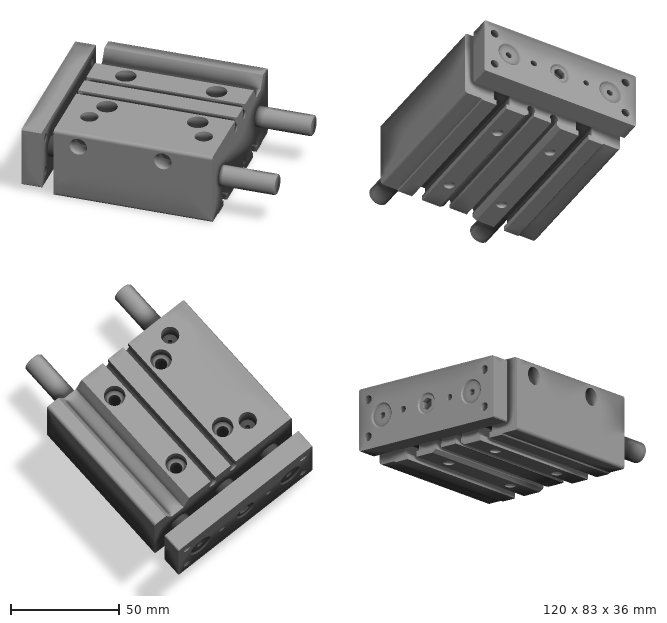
import cadquery as cq
import math


total_length = 120.0
plate_thickness = 10.0
housing_start = 16.0
housing_length = 77.0
housing_width = 83.0
housing_height = 36.0
housing_end = housing_start + housing_length
half_width = housing_width / 2
half_height = housing_height / 2

rod_diameter = 10.0
guide_rod_offset = 27.0
guide_rod_chamfer = 0.5
piston_rod_end = housing_start + housing_length / 2

top_corner_radius = 1.5
bottom_corner_radius = 1.5
foot_half_width = 32.0
foot_height = 0.6
side_bottom = foot_height - half_height
foot_root_half_width = foot_half_width + foot_height

channel_center = 27.5
channel_mouth_width = 14.0
channel_floor_width = 7.1
channel_depth = 6.0

recess_mouth_width = 19.5
recess_depth = 1.5

groove_offset = 6.1
groove_slot_width = 3.0
groove_round_diameter = 4.2
groove_round_depth = 4.8
recess_floor_width = 2 * groove_offset + groove_slot_width

t_slot_offset = 22.0
t_slot_throat_width = 5.4
t_slot_throat_depth = 2.8
t_slot_head_width = 8.4
t_slot_depth = 7.8

mount_hole_x = (33.0, 77.0)
mount_hole_offset = 14.0
mount_head_diameter = 10.0
mount_head_depth = 6.0
mount_hole_diameter = 5.8
mount_thread_diameter = 5.2
mount_thread_length = 12.0

port_mouth_diameter = 8.5
port_floor_diameter = 7.5
port_depth = 8.0
port_drill_diameter = 2.0
port_drill_length = 3.0
top_port_x = (28.0, 83.5)
top_port_y = -25.0
side_port_x = (28.0, 69.0)
side_port_z = 11.5

plate_width = 81.0
plate_height = 30.0
plate_edge_chamfer = 0.5
plate_bolt_diameter = 4.2
plate_bolt_y = 35.0
plate_bolt_z = 9.0
dowel_diameter = 3.0
dowel_offset = 14.0
dowel_slot_length = 3.5

guide_rim_diameter = 12.0
guide_socket_width = 3.0
guide_socket_depth = 2.4
piston_rim_diameter = 10.3
piston_socket_width = 5.3
piston_socket_depth = 3.6
rim_chamfer = 0.7


def cross_section(x_start):
    """Workplane across the rods at a given X, with local x = Y and local y = Z."""
    return cq.Workplane("YZ", origin=(x_start, 0, 0))


def housing_bar(outline):
    """Extrude a closed YZ outline over the housing length."""
    return cross_section(housing_start).polyline(outline).close().extrude(housing_length)


def housing_channel(center_y, low_z, high_z, width):
    """Rectangular bar over the housing length."""
    center_z = (low_z + high_z) / 2
    section = cross_section(housing_start).center(center_y, center_z).rect(width, high_z - low_z)
    return section.extrude(housing_length)


def rod(x_start, x_end, y):
    """Plain round bar along X; also used to bore its matching hole."""
    return cross_section(x_start).center(y, 0).circle(rod_diameter / 2).extrude(x_end - x_start)


def make_outer_block():
    """Rounded bar with a wide, low foot on the underside, its sides sloped at 45 degrees."""
    block = housing_bar([
        (-half_width, half_height),
        (half_width, half_height),
        (half_width, side_bottom),
        (foot_root_half_width, side_bottom),
        (foot_half_width, -half_height),
        (-foot_half_width, -half_height),
        (-foot_root_half_width, side_bottom),
        (-half_width, side_bottom),
    ])
    block = block.edges("|X and >Z").fillet(top_corner_radius)
    return block.edges("|X and (<Y or >Y)").edges("<Z").fillet(bottom_corner_radius)


def make_top_channel():
    floor_z = half_height - channel_depth
    return housing_bar([
        (channel_center - channel_mouth_width / 2, half_height),
        (channel_center - channel_floor_width / 2, floor_z),
        (channel_center + channel_floor_width / 2, floor_z),
        (channel_center + channel_mouth_width / 2, half_height),
    ])


def make_bottom_recess():
    floor_z = recess_depth - half_height
    return housing_bar([
        (-recess_mouth_width / 2, -half_height),
        (-recess_floor_width / 2, floor_z),
        (recess_floor_width / 2, floor_z),
        (recess_mouth_width / 2, -half_height),
    ])


def make_sensor_groove(y):
    """Groove open at the top, centred on the given Y."""
    round_z = half_height - groove_round_depth
    slot = housing_channel(y, round_z, half_height, groove_slot_width)
    round_bottom = cross_section(housing_start).center(y, round_z).circle(groove_round_diameter / 2)
    return slot.union(round_bottom.extrude(housing_length))


def make_t_slot(y):
    throat_top = t_slot_throat_depth - half_height
    head_top = t_slot_depth - half_height
    throat = housing_channel(y, -half_height, throat_top, t_slot_throat_width)
    return throat.union(housing_channel(y, throat_top, head_top, t_slot_head_width))


def make_mounting_hole(x, y):
    """Counterbored from the top, threaded from the underside."""
    base = cq.Workplane("XY", origin=(x, y, -half_height))
    thread = base.circle(mount_thread_diameter / 2).extrude(mount_thread_length)
    clearance = (
        base.workplane(offset=mount_thread_length)
        .circle(mount_hole_diameter / 2)
        .extrude(housing_height - mount_thread_length)
    )
    head = (
        base.workplane(offset=housing_height - mount_head_depth)
        .circle(mount_head_diameter / 2)
        .extrude(mount_head_depth)
    )
    return thread.union(clearance).union(head)


def make_port(mouth, direction):
    """Tapered port that starts at a point on the surface and runs inward."""
    mouth_point = cq.Vector(*mouth)
    inward = cq.Vector(*direction)
    taper = cq.Solid.makeCone(port_mouth_diameter / 2, port_floor_diameter / 2, port_depth, mouth_point, inward)
    drill = cq.Solid.makeCylinder(port_drill_diameter / 2, port_depth + port_drill_length, mouth_point, inward)
    return cq.Workplane(taper).union(cq.Workplane(drill))


def make_housing():
    housing = make_outer_block().cut(make_top_channel()).cut(make_bottom_recess())
    for side in (-1, 1):
        groove = make_sensor_groove(side * groove_offset)
        housing = housing.cut(groove).cut(groove.mirror("XY"))
        housing = housing.cut(make_t_slot(side * t_slot_offset))
        housing = housing.cut(rod(housing_start, housing_end, side * guide_rod_offset))
        for x in mount_hole_x:
            housing = housing.cut(make_mounting_hole(x, side * mount_hole_offset))
    housing = housing.cut(rod(housing_start, piston_rod_end, 0))
    for x in top_port_x:
        housing = housing.cut(make_port((x, top_port_y, half_height), (0, 0, -1)))
    for x in side_port_x:
        housing = housing.cut(make_port((x, -half_width, side_port_z), (0, 1, 0)))
    return housing


def make_screw_head(y, rim_diameter, socket_width, socket_depth):
    """Chamfered rim down to the screw face, with a hexagon socket, point upward, in that face."""
    rim_radius = rim_diameter / 2
    rim = cq.Solid.makeCone(
        rim_radius, rim_radius - rim_chamfer, rim_chamfer, cq.Vector(0, y, 0), cq.Vector(1, 0, 0)
    )
    corner_diameter = socket_width / math.cos(math.pi / 6)
    socket = (
        cross_section(0)
        .center(y, 0)
        .transformed(rotate=(0, 0, 90))
        .polygon(6, corner_diameter)
        .extrude(rim_chamfer + socket_depth)
    )
    return socket.union(cq.Workplane(rim))


def make_plate():
    """Tool plate with four bolt holes, a dowel hole and a dowel slot."""
    plate = cross_section(0).rect(plate_width, plate_height).extrude(plate_thickness)
    plate = plate.edges("|X").chamfer(plate_edge_chamfer)
    bolt_holes = (
        cross_section(0)
        .rect(2 * plate_bolt_y, 2 * plate_bolt_z, forConstruction=True)
        .vertices()
        .circle(plate_bolt_diameter / 2)
        .extrude(plate_thickness)
    )
    dowel_hole = cross_section(0).center(-dowel_offset, 0).circle(dowel_diameter / 2).extrude(plate_thickness)
    dowel_slot = (
        cross_section(0)
        .center(dowel_offset, 0)
        .slot2D(dowel_slot_length, dowel_diameter)
        .extrude(plate_thickness)
    )
    return plate.cut(bolt_holes).cut(dowel_hole).cut(dowel_slot)


def make_slide():
    slide = make_plate().union(rod(plate_thickness, piston_rod_end, 0))
    for side in (-1, 1):
        guide_rod = rod(plate_thickness, total_length, side * guide_rod_offset)
        slide = slide.union(guide_rod.faces(">X").chamfer(guide_rod_chamfer))
        screw_y = side * guide_rod_offset
        slide = slide.cut(
            make_screw_head(screw_y, guide_rim_diameter, guide_socket_width, guide_socket_depth)
        )
    return slide.cut(make_screw_head(0, piston_rim_diameter, piston_socket_width, piston_socket_depth))


housing = make_housing()
slide = make_slide()

result = cq.Compound.makeCompound([housing.val(), slide.val()])